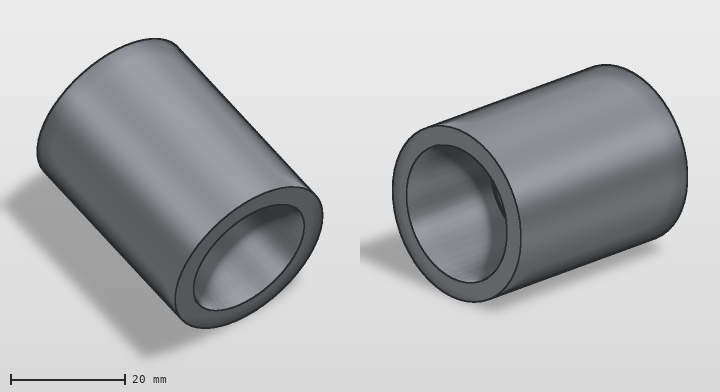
import cadquery as cq

length = 41.0
outer_diameter = 32.0
wide_bore_diameter = 25.0
narrow_bore_diameter = 24.0
wide_bore_depth = length / 2


def cylinder_along_x(diameter, depth):
    """Cylinder centred on the X axis, starting at the -X end face."""
    return cq.Workplane("YZ").circle(diameter / 2).extrude(depth)


sleeve = cylinder_along_x(outer_diameter, length)
through_bore = cylinder_along_x(narrow_bore_diameter, length)
wide_bore = cylinder_along_x(wide_bore_diameter, wide_bore_depth)

result = sleeve.cut(through_bore).cut(wide_bore)